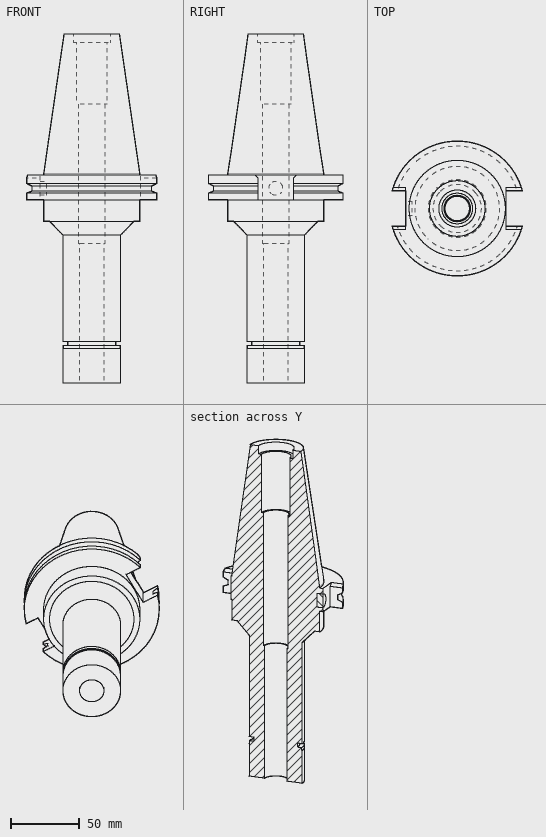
import cadquery as cq

total_height = 254.0
taper_length = 101.5
flange_gap = 1.0
flange_bottom_depth = 120.6
collar_length = 15.7
shoulder_length = 10.0
nose_length = 25.1
ring_length = 2.3
neck_length = 2.8

gauge_z = total_height - taper_length
flange_top_z = gauge_z - flange_gap
flange_bottom_z = total_height - flange_bottom_depth
collar_bottom_z = flange_bottom_z - collar_length
shoulder_bottom_z = collar_bottom_z - shoulder_length
ring_top_z = nose_length + ring_length
neck_top_z = ring_top_z + neck_length

gauge_radius = 35.0
taper_ratio = 7 / 24
taper_top_radius = gauge_radius - taper_length * taper_ratio / 2
flange_radius = 98.3 / 2
shoulder_radius = 30.7
shank_radius = 21.0
ring_radius = 20.8
neck_radius = 17.5

groove_floor_radius = 45.5
groove_top_z = 145.3
groove_floor_top_z = 143.3
groove_floor_bottom_z = 139.7
groove_bottom_z = 138.2

slot_width = 25.7
slot_chamfer = 2.3
left_slot_floor = 37.5
right_slot_floor = 35.5

counterbore_radius = 13.5
counterbore_depth = 6.4
thread_bore_radius = 11.2
thread_bore_depth = 50.8
clearance_radius = 9.7
clearance_depth = 152.5
through_radius = 9.0

plug_radius = 5.0
plug_depth = 4.5
plug_z = 141.7


def make_turned_body():
    """Revolve the outside profile of taper, flange, shank, ring and nose."""
    profile = [
        (0, 0),
        (shank_radius, 0),
        (shank_radius, nose_length),
        (ring_radius, nose_length),
        (ring_radius, ring_top_z),
        (neck_radius, ring_top_z),
        (neck_radius, neck_top_z),
        (shank_radius, neck_top_z),
        (shank_radius, shoulder_bottom_z),
        (shoulder_radius, collar_bottom_z),
        (gauge_radius, collar_bottom_z),
        (gauge_radius, flange_bottom_z),
        (flange_radius, flange_bottom_z),
        (flange_radius, groove_bottom_z),
        (groove_floor_radius, groove_floor_bottom_z),
        (groove_floor_radius, groove_floor_top_z),
        (flange_radius, groove_top_z),
        (flange_radius, flange_top_z),
        (gauge_radius, flange_top_z),
        (gauge_radius, gauge_z),
        (taper_top_radius, total_height),
        (0, total_height),
    ]
    return cq.Workplane("XZ").polyline(profile).close().revolve(360, (0, 0), (0, 1))


def make_slot_cutter(floor_distance, side):
    """Slot with chamfered upper edges, running outward along X; side is -1 or +1."""
    half_width = slot_width / 2
    mouth_half_width = half_width + slot_chamfer
    chamfer_z = flange_top_z - slot_chamfer
    outline = [
        (-half_width, flange_bottom_z),
        (half_width, flange_bottom_z),
        (half_width, chamfer_z),
        (mouth_half_width, flange_top_z),
        (-mouth_half_width, flange_top_z),
        (-half_width, chamfer_z),
    ]
    return (
        cq.Workplane("YZ", origin=(side * floor_distance, 0, 0))
        .polyline(outline)
        .close()
        .extrude(side * flange_radius)
    )


def make_bore_step(radius, depth):
    """Cylinder reaching down from the top face."""
    return cq.Workplane("XY", origin=(0, 0, total_height)).circle(radius).extrude(-depth)


def make_plug():
    """Plug whose outer face lies in the floor of the -X slot."""
    return (
        cq.Workplane("YZ", origin=(-left_slot_floor, 0, plug_z))
        .circle(plug_radius)
        .extrude(plug_depth)
    )


def make_holder(plug):
    """Tool holder with its drive slots, stepped bore and plug recess."""
    body = make_turned_body()
    for floor_distance, side in ((left_slot_floor, -1), (right_slot_floor, 1)):
        body = body.cut(make_slot_cutter(floor_distance, side))
    bore_steps = (
        (counterbore_radius, counterbore_depth),
        (thread_bore_radius, thread_bore_depth),
        (clearance_radius, clearance_depth),
        (through_radius, total_height),
    )
    for radius, depth in bore_steps:
        body = body.cut(make_bore_step(radius, depth))
    return body.cut(plug)


plug = make_plug()
holder = make_holder(plug)

result = cq.Compound.makeCompound([holder.val(), plug.val()])